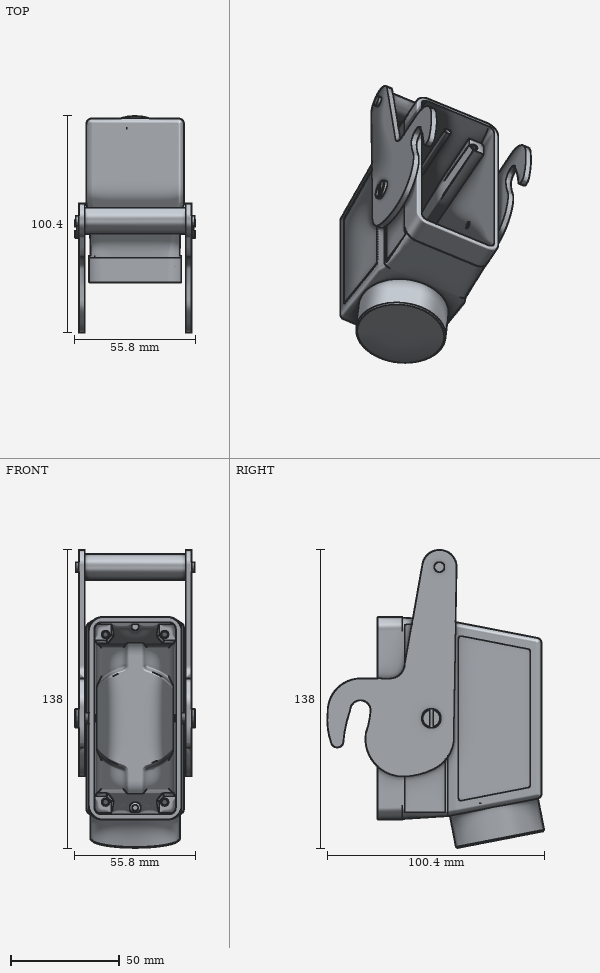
import cadquery as cq
import math


SLOPE = math.radians(11)
BACK_Y = 51.0
SHOULDER_Y = 7.6
COLLAR_Y = -13.4
MOUTH_Y = -25.0
REAR_HALF_WIDTH = 22.6
FRONT_HALF_WIDTH = 21.4
SHOULDER_BEVEL = 3.6
BACK_HALF_HEIGHT = 36.8
COLLAR_HALF_HEIGHT = 46.9
REAR_ROUND = 2.6
COLLAR_ROUND = 6.2
RIM_ROUND = 0.7
NECK_STEP = 0.3
SHOULDER_HALF_HEIGHT = BACK_HALF_HEIGHT + (BACK_Y - SHOULDER_Y) * math.tan(SLOPE)

FLAT_HALF_WIDTH = 20.7
FLAT_HALF_HEIGHT = 43.5
FLAT_BACK_Y = 6.3
FLAT_FRONT_Y = -12.4

PANEL_BACK_Y = 45.7
PANEL_FRONT_Y = 12.5
PANEL_BACK_HALF_HEIGHT = 31.9
PANEL_DEPTH = 0.4
PANEL_ROUND = 1.1

CAVITY_HALF_WIDTH = 18.9
CAVITY_DRAFT = 1.0
MOUTH_HALF_HEIGHT = 44.5
CAVITY_HALF_HEIGHT = 43.6
CAVITY_ROUND = 3.3
CAVITY_BEND_Y = 9.7
CAVITY_BEND_HALF_HEIGHT = 41.8
CAVITY_BACK_Y = 48.3
CAVITY_BACK_ROUND = 2.5
CAVITY_BACK_HALF_HEIGHT = CAVITY_BEND_HALF_HEIGHT - (CAVITY_BACK_Y - CAVITY_BEND_Y) * math.tan(SLOPE)

PAD_HEIGHT = 3.5
PAD_DRAFT = 20.0
PAD_RADIUS = 23.9
PAD_STRIP_HALF_WIDTH = 4.5
PAD_CORNER_ROUND = 2.1
PAD_EDGE_ROUND = 0.8
PAD_FOOT_ROUND = 1.8

BOSS_FACE_Y = -15.0
BOSS_INNER_X = 11.0
BOSS_INNER_Z = 36.2
BOSS_CORNER = 2.3
BOSS_DRAFT = 1.5
SCREW_X = 13.7
SCREW_Z = 38.8
SCREW_RADIUS = 1.4
SCREW_CHAMFER = 0.4
SCREW_DEPTH = 13.8
UPPER_RIB_RADIUS = 1.7
UPPER_RIB_Z = 42.4
LOWER_RIB_RADIUS = 2.6
LOWER_RIB_Z = -41.4
LOWER_RIB_CHAMFER = 1.2

ENTRY_RADIUS = 20.8
ENTRY_END_Y = 31.9
ENTRY_END_Z = -56.2
ENTRY_LENGTH = 19.3
ENTRY_CHAMFER = 0.7

PLATE_INNER_X = 23.3
PLATE_THICKNESS = 2.8
HANDLE_Y = 3.7
HANDLE_Z = 70.0
EYE_RADIUS = 8.0
HANDLE_RADIUS = 6.1
PIN_RADIUS = 2.3
PIN_END_X = 27.6
ARM_FILLET = 6.9

HEAD_RADIUS = 4.4
HEAD_END_X = 27.9
HEAD_CHAMFER = 0.4
SHANK_RADIUS = 2.6
SHANK_START_X = 20.0
STUD_RADIUS = 1.7
STUD_START_X = 18.2
DRIVER_SLOT_WIDTH = 1.7
DRIVER_SLOT_DEPTH = 0.8


def box(x0, x1, y0, y1, z0, z1):
    return cq.Workplane("XY").box(x1 - x0, y1 - y0, z1 - z0, centered=False).translate((x0, y0, z0))


def rod_x(radius, x0, x1, y=0.0, z=0.0):
    return cq.Workplane("YZ", origin=(x0, 0, 0)).center(y, z).circle(radius).extrude(x1 - x0)


def rod_y(radius, y0, y1, x, z):
    return cq.Workplane("XZ", origin=(0, y0, 0)).center(x, z).circle(radius).extrude(y0 - y1)


def both_sides(shape):
    return shape.union(shape.mirror("YZ"))


def rounded_frame(y, half_width, half_height, corner):
    sketch = cq.Sketch().rect(2 * half_width, 2 * half_height).vertices().fillet(corner)
    return cq.Workplane("XZ", origin=(0, y, 0)).placeSketch(sketch)


def trapezoid(half_width, back_y, back_half, front_y, front_half):
    points = [(back_y, -back_half), (back_y, back_half), (front_y, front_half), (front_y, -front_half)]
    return cq.Workplane("YZ").polyline(points).close().extrude(half_width, both=True)


def make_shell():
    rear = trapezoid(REAR_HALF_WIDTH, BACK_Y, BACK_HALF_HEIGHT, SHOULDER_Y, SHOULDER_HALF_HEIGHT)
    bevel_y = SHOULDER_Y + SHOULDER_BEVEL
    plan = [(REAR_HALF_WIDTH, BACK_Y), (REAR_HALF_WIDTH, bevel_y), (FRONT_HALF_WIDTH, SHOULDER_Y)]
    plan += [(-x, y) for x, y in reversed(plan)]
    rear = rear.intersect(cq.Workplane("XY").polyline(plan).close().extrude(COLLAR_HALF_HEIGHT, both=True))
    rear = rear.edges("not(<Y)").fillet(REAR_ROUND)

    back_sketch = cq.Sketch().rect(2 * FRONT_HALF_WIDTH, 2 * SHOULDER_HALF_HEIGHT).vertices().fillet(REAR_ROUND)
    front_sketch = cq.Sketch().rect(2 * FRONT_HALF_WIDTH, 2 * (COLLAR_HALF_HEIGHT - NECK_STEP))
    front_sketch = front_sketch.vertices().fillet(COLLAR_ROUND)
    neck_length = SHOULDER_Y - COLLAR_Y
    neck = cq.Workplane("XZ", origin=(0, SHOULDER_Y, 0)).placeSketch(
        back_sketch, front_sketch.moved(cq.Location(cq.Vector(0, 0, neck_length)))
    ).loft()

    flat = box(FLAT_HALF_WIDTH, REAR_HALF_WIDTH, FLAT_FRONT_Y, FLAT_BACK_Y, -FLAT_HALF_HEIGHT, FLAT_HALF_HEIGHT)

    collar = rounded_frame(COLLAR_Y, FRONT_HALF_WIDTH, COLLAR_HALF_HEIGHT, COLLAR_ROUND)
    collar = collar.extrude(COLLAR_Y - MOUTH_Y).faces("<Y").edges().fillet(RIM_ROUND)
    return rear.union(neck).union(collar).cut(both_sides(flat))


def make_side_panel():
    front_half = PANEL_BACK_HALF_HEIGHT + (PANEL_BACK_Y - PANEL_FRONT_Y) * math.tan(SLOPE)
    panel = trapezoid(REAR_HALF_WIDTH, PANEL_BACK_Y, PANEL_BACK_HALF_HEIGHT, PANEL_FRONT_Y, front_half)
    panel = panel.edges("|X").fillet(PANEL_ROUND)
    core = REAR_HALF_WIDTH - PANEL_DEPTH
    return panel.cut(box(-core, core, MOUTH_Y, BACK_Y, -COLLAR_HALF_HEIGHT, COLLAR_HALF_HEIGHT))


def make_entry():
    down = (0, math.sin(SLOPE), -math.cos(SLOPE))
    start = (0, ENTRY_END_Y - ENTRY_LENGTH * down[1], ENTRY_END_Z - ENTRY_LENGTH * down[2])
    plane = cq.Plane(origin=start, xDir=(1, 0, 0), normal=down)
    entry = cq.Workplane(plane).circle(ENTRY_RADIUS).extrude(ENTRY_LENGTH)
    return entry.faces("<Z").chamfer(ENTRY_CHAMFER)


def make_cavity():
    upper = [
        (MOUTH_Y, MOUTH_HALF_HEIGHT),
        (BOSS_FACE_Y, CAVITY_HALF_HEIGHT),
        (CAVITY_BEND_Y, CAVITY_BEND_HALF_HEIGHT),
        (CAVITY_BACK_Y, CAVITY_BACK_HALF_HEIGHT),
    ]
    lower = [(y, -z) for y, z in reversed(upper)]
    profile = cq.Workplane("YZ").polyline(upper + lower).close().extrude(CAVITY_HALF_WIDTH, both=True)
    frame = rounded_frame(MOUTH_Y, CAVITY_HALF_WIDTH, MOUTH_HALF_HEIGHT, CAVITY_ROUND)
    tunnel = frame.extrude(MOUTH_Y - BACK_Y, taper=CAVITY_DRAFT)
    return profile.intersect(tunnel).faces(">Y").edges().fillet(CAVITY_BACK_ROUND)


def make_back_pad():
    strip_end = COLLAR_HALF_HEIGHT
    junctions = cq.selectors.BoxSelector((-PAD_RADIUS, -PAD_RADIUS, -1.4), (PAD_RADIUS, PAD_RADIUS, 1.4))
    outline = cq.Sketch().circle(PAD_RADIUS).rect(2 * PAD_STRIP_HALF_WIDTH, 2 * strip_end).clean()
    outline = outline.reset().vertices(junctions).fillet(PAD_CORNER_ROUND)
    pad = cq.Workplane("XZ", origin=(0, CAVITY_BACK_Y, 0)).placeSketch(outline)
    pad = pad.extrude(PAD_HEIGHT, taper=PAD_DRAFT)
    pad = pad.faces("<Y").edges().fillet(PAD_EDGE_ROUND)
    half_wall = strip_end + 2.8
    wall = box(-half_wall, half_wall, CAVITY_BACK_Y, BACK_Y, -half_wall, half_wall)
    foot = cq.selectors.BoxSelector(
        (-PAD_RADIUS - 1.4, CAVITY_BACK_Y - 0.1, -strip_end - 1.4),
        (PAD_RADIUS + 1.4, CAVITY_BACK_Y + 0.1, strip_end + 1.4),
        boundingbox=True,
    )
    return pad.union(wall).edges(foot).fillet(PAD_FOOT_ROUND)


def make_boss():
    outer_x = CAVITY_HALF_WIDTH + 0.7
    outer_z = CAVITY_HALF_HEIGHT + 0.7
    outline = [
        (BOSS_INNER_X, outer_z),
        (BOSS_INNER_X, BOSS_INNER_Z + BOSS_CORNER),
        (BOSS_INNER_X + BOSS_CORNER, BOSS_INNER_Z),
        (outer_x, BOSS_INNER_Z),
        (outer_x, outer_z),
    ]
    boss = cq.Workplane("XZ", origin=(0, BOSS_FACE_Y, 0)).polyline(outline).close()
    boss = boss.extrude(BOSS_FACE_Y - CAVITY_BACK_Y, taper=-BOSS_DRAFT)
    hole = rod_y(SCREW_RADIUS, BOSS_FACE_Y, BOSS_FACE_Y + SCREW_DEPTH, SCREW_X, SCREW_Z)
    boss = boss.cut(hole)
    return boss.faces("<Y").edges("%CIRCLE").chamfer(SCREW_CHAMFER)


def make_plate():
    tilt = math.radians(10)
    eye_front = (HANDLE_Y - EYE_RADIUS * math.cos(tilt), HANDLE_Z + EYE_RADIUS * math.sin(tilt))
    arm_foot_z = 18.4
    arm_foot = (eye_front[0] - (eye_front[1] - arm_foot_z) * math.tan(tilt), arm_foot_z)
    plate = (
        cq.Workplane("YZ", origin=(PLATE_INNER_X, 0, 0))
        .moveTo(HANDLE_Y + EYE_RADIUS, HANDLE_Z)
        .threePointArc((HANDLE_Y, HANDLE_Z + EYE_RADIUS), eye_front)
        .lineTo(*arm_foot)
        .lineTo(-33.5, 18.5)
        .threePointArc((-44.5, 13.0), (-48.0, 2.6))
        .threePointArc((-48.0, -4.1), (-46.4, -11.5))
        .threePointArc((-43.3, -13.5), (-40.7, -11.3))
        .threePointArc((-39.6, -3.7), (-37.5, 3.7))
        .threePointArc((-32.8, 8.3), (-28.2, 3.7))
        .threePointArc((-28.8, -1.4), (-30.4, -6.9))
        .threePointArc((-24.7, -22.5), (-12.4, -26.9))
        .threePointArc((-6.2, -26.1), (1.1, -23.5))
        .threePointArc((7.6, -18.0), (10.4, -6.9))
        .close()
        .extrude(PLATE_THICKNESS)
    )
    near = cq.selectors.BoxSelector(
        (0, arm_foot[0] - 1.4, arm_foot[1] - 1.4), (2 * PLATE_INNER_X, arm_foot[0] + 1.4, arm_foot[1] + 1.4)
    )
    return plate.edges("|X").edges(near).fillet(ARM_FILLET)


def make_pivot():
    head = rod_x(HEAD_RADIUS, PLATE_INNER_X + PLATE_THICKNESS, HEAD_END_X)
    head = head.faces(">X").chamfer(HEAD_CHAMFER)
    half_slot = DRIVER_SLOT_WIDTH / 2
    slot = box(HEAD_END_X - DRIVER_SLOT_DEPTH, HEAD_END_X, -half_slot, half_slot, -HEAD_RADIUS, HEAD_RADIUS)
    shank = rod_x(SHANK_RADIUS, SHANK_START_X, PLATE_INNER_X + PLATE_THICKNESS)
    stud = rod_x(STUD_RADIUS, STUD_START_X, SHANK_START_X)
    return head.cut(slot).union(shank).union(stud)


hood = make_shell().cut(both_sides(make_side_panel())).union(make_entry())
upper_bosses = both_sides(make_boss())
upper_rib = rod_y(UPPER_RIB_RADIUS, BOSS_FACE_Y, CAVITY_BACK_Y, 0, UPPER_RIB_Z)
lower_rib = rod_y(LOWER_RIB_RADIUS, BOSS_FACE_Y, CAVITY_BACK_Y, 0, LOWER_RIB_Z)
lower_rib = lower_rib.faces("<Y").chamfer(LOWER_RIB_CHAMFER)
hollow = make_cavity().cut(make_back_pad())
hollow = hollow.cut(upper_bosses).cut(upper_bosses.mirror("XY"))
hollow = hollow.cut(upper_rib).cut(lower_rib)
hood = hood.cut(hollow)

handle = rod_x(HANDLE_RADIUS, -PLATE_INNER_X, PLATE_INNER_X, HANDLE_Y, HANDLE_Z)
handle_pin = rod_x(PIN_RADIUS, -PIN_END_X, PIN_END_X, HANDLE_Y, HANDLE_Z)
lever = both_sides(make_plate()).union(handle).union(handle_pin)

result = hood.union(lever).union(both_sides(make_pivot()))